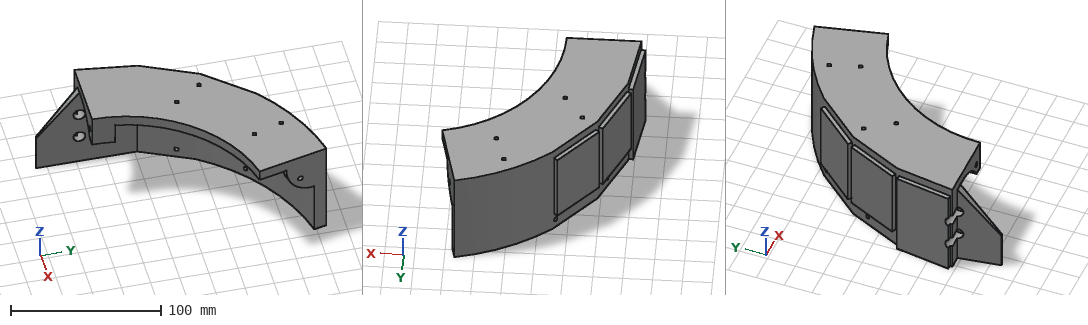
import cadquery as cq
import math

OUTER_RADIUS = 149.0
PLATE_WIDTH = 50.0
INNER_RADIUS = OUTER_RADIUS - PLATE_WIDTH
WALL_INNER_RADIUS = 139.8
SWEEP = 76.8
FACET_ANGLE = 16.4
OUTER_FACETS = 3
INNER_FACETS = 2
HEIGHT = 69.7
TOTAL_LENGTH = 174.8
PLATE_THICKNESS = 7.7
PLATE_BOTTOM = HEIGHT - PLATE_THICKNESS

PANEL_LENGTH = 39.5
PANEL_THICKNESS = 3.1
PANEL_TOP = 63.5
PANEL_BOTTOMS = (0, 13.1, 13.1)

RIB_ANGLE = 9
RIB_BOTTOM = 46.7
RIB_ARCH_RADIUS = 27.6
RIB_ARCH_X = 18.7
RIB_HOLE_RADIUS = 105.5
RIB_HOLE_Z = 55.5

EAR_ANGLE = 2.8
EAR_REACH = 20.6
EAR_DROP = 22.9
EAR_HOLE_RADIUS = 129.5
EAR_HOLE_Z = 50.7
LUG_HOLE_DIAMETER = 3.5

FIN_LENGTH = TOTAL_LENGTH - OUTER_RADIUS * math.sin(math.radians(SWEEP))
FIN_RIGHT_X = 14.7
FIN_TIP_THICKNESS = 1.4
FIN_TIP_HEIGHT = 27.1

CROSS_HOLE_DIAMETER = 8.0
CROSS_HOLE_HEIGHTS = (22.2, 42.1)
PLATE_HOLE_DIAMETER = 2.6
PLATE_HOLES = ((83.4, 121.7), (89.9, 101.7), (34.1, 77.3), (46.8, 58.9))
WALL_HOLE_DIAMETER = 3.0
WALL_HOLE_ANGLES = (27.4, 48)
WALL_HOLE_Z = 6.8

OVERLAP = 0.9
CLEARANCE = 1.7


def bend_point(radius, angle):
    """XY point on the bend; the outer front corner is the origin."""
    a = math.radians(angle)
    return (OUTER_RADIUS - radius * math.cos(a), radius * math.sin(a))


def curved_edge(outline, radius, start, end):
    return outline.threePointArc(bend_point(radius, (start + end) / 2), bend_point(radius, end))


def bend_sector(inner, inner_facets, bottom, top):
    """Full sweep with a faceted, then round, outer side and inner side."""
    outline = cq.Workplane("XY", origin=(0, 0, bottom)).moveTo(*bend_point(OUTER_RADIUS, 0))
    for i in range(1, OUTER_FACETS + 1):
        outline = outline.lineTo(*bend_point(OUTER_RADIUS, i * FACET_ANGLE))
    outline = curved_edge(outline, OUTER_RADIUS, OUTER_FACETS * FACET_ANGLE, SWEEP)
    outline = outline.lineTo(*bend_point(inner, SWEEP))
    outline = curved_edge(outline, inner, SWEEP, inner_facets * FACET_ANGLE)
    for i in reversed(range(inner_facets)):
        outline = outline.lineTo(*bend_point(inner, i * FACET_ANGLE))
    return outline.close().extrude(top - bottom)


def panel(index):
    """Flat panel centred on an outer facet, sunk slightly into the wall."""
    angle = (index + 0.5) * FACET_ANGLE
    facet_distance = OUTER_RADIUS * math.cos(math.radians(FACET_ANGLE / 2))
    bottom = PANEL_BOTTOMS[index]
    block = cq.Workplane("XY").box(
        PANEL_THICKNESS + OVERLAP, PANEL_LENGTH, PANEL_TOP - bottom, centered=(False, True, False)
    )
    block = block.translate((OUTER_RADIUS - facet_distance - PANEL_THICKNESS, 0, bottom))
    return block.rotate((OUTER_RADIUS, 0, 0), (OUTER_RADIUS, 0, 1), -angle)


def revolve_profile(profile, start, angle):
    """Turn an XZ profile about the bend axis, beginning at the start angle."""
    body = profile.revolve(angle, (OUTER_RADIUS, 0, 0), (OUTER_RADIUS, -1, 0))
    return body.rotate((OUTER_RADIUS, 0, 0), (OUTER_RADIUS, 0, 1), -start)


def front_rib():
    arch_z = PLATE_BOTTOM - RIB_ARCH_RADIUS
    lip_angle = math.asin((RIB_BOTTOM - arch_z) / RIB_ARCH_RADIUS)
    mid_angle = (lip_angle + math.pi / 2) / 2
    lip_x = RIB_ARCH_X + RIB_ARCH_RADIUS * math.cos(lip_angle)
    mid_x = RIB_ARCH_X + RIB_ARCH_RADIUS * math.cos(mid_angle)
    mid_z = arch_z + RIB_ARCH_RADIUS * math.sin(mid_angle)
    inner_x = OUTER_RADIUS - INNER_RADIUS
    profile = (
        cq.Workplane("XZ")
        .moveTo(RIB_ARCH_X, PLATE_BOTTOM)
        .threePointArc((mid_x, mid_z), (lip_x, RIB_BOTTOM))
        .lineTo(inner_x, RIB_BOTTOM)
        .lineTo(inner_x, PLATE_BOTTOM + OVERLAP)
        .lineTo(RIB_ARCH_X, PLATE_BOTTOM + OVERLAP)
        .close()
    )
    return revolve_profile(profile, 0, RIB_ANGLE)


def end_ear():
    wall_x = OUTER_RADIUS - WALL_INNER_RADIUS
    diagonal = math.sqrt(0.5)
    profile = (
        cq.Workplane("XZ")
        .moveTo(wall_x - OVERLAP, PLATE_BOTTOM + OVERLAP)
        .lineTo(wall_x - OVERLAP, PLATE_BOTTOM - EAR_DROP)
        .lineTo(wall_x, PLATE_BOTTOM - EAR_DROP)
        .threePointArc(
            (wall_x + EAR_REACH * diagonal, PLATE_BOTTOM - EAR_DROP * diagonal),
            (wall_x + EAR_REACH, PLATE_BOTTOM),
        )
        .lineTo(wall_x + EAR_REACH, PLATE_BOTTOM + OVERLAP)
        .close()
    )
    return revolve_profile(profile, SWEEP - EAR_ANGLE, EAR_ANGLE)


def fin():
    """Tapered plate whose flat right side runs back to the first inner facet corner."""
    plan = (
        cq.Workplane("XY")
        .polyline([
            bend_point(WALL_INNER_RADIUS, 0),
            (FIN_RIGHT_X - FIN_TIP_THICKNESS, -FIN_LENGTH),
            (FIN_RIGHT_X, -FIN_LENGTH),
            (FIN_RIGHT_X, 0),
            bend_point(WALL_INNER_RADIUS, FACET_ANGLE),
        ])
        .close()
        .extrude(PLATE_BOTTOM)
    )
    above_slope = (
        cq.Workplane("YZ")
        .polyline([(0, PLATE_BOTTOM), (-FIN_LENGTH, FIN_TIP_HEIGHT), (-FIN_LENGTH, PLATE_BOTTOM)])
        .close()
        .extrude(OUTER_RADIUS)
    )
    return plan.cut(above_slope)


def hole(diameter, start, end):
    """Round cutter between two points, run past both of them."""
    start = cq.Vector(*start)
    axis = cq.Vector(*end) - start
    direction = axis.normalized()
    length = axis.Length + 2 * CLEARANCE
    return cq.Workplane(cq.Solid.makeCylinder(diameter / 2, length, start - direction * CLEARANCE, direction))


def lug_hole(radius, z, start, end):
    """Straight hole along the bend, through a lug between two angles."""
    return hole(LUG_HOLE_DIAMETER, (*bend_point(radius, start), z), (*bend_point(radius, end), z))


def wall_hole(angle):
    outer = bend_point(OUTER_RADIUS, angle)
    inner = bend_point(WALL_INNER_RADIUS, angle)
    return hole(WALL_HOLE_DIAMETER, (*outer, WALL_HOLE_Z), (*inner, WALL_HOLE_Z))


result = bend_sector(INNER_RADIUS, 0, PLATE_BOTTOM, HEIGHT)
result = result.union(bend_sector(WALL_INNER_RADIUS, INNER_FACETS, 0, HEIGHT))

for facet in range(OUTER_FACETS):
    result = result.union(panel(facet))
result = result.union(front_rib()).union(end_ear()).union(fin())

for z in CROSS_HOLE_HEIGHTS:
    result = result.cut(hole(CROSS_HOLE_DIAMETER, (-PANEL_THICKNESS, 0, z), (FIN_RIGHT_X, 0, z)))

for x, y in PLATE_HOLES:
    result = result.cut(hole(PLATE_HOLE_DIAMETER, (x, y, PLATE_BOTTOM), (x, y, HEIGHT)))

for angle in WALL_HOLE_ANGLES:
    result = result.cut(wall_hole(angle))

result = result.cut(lug_hole(RIB_HOLE_RADIUS, RIB_HOLE_Z, 0, RIB_ANGLE))
result = result.cut(lug_hole(EAR_HOLE_RADIUS, EAR_HOLE_Z, SWEEP - EAR_ANGLE, SWEEP))